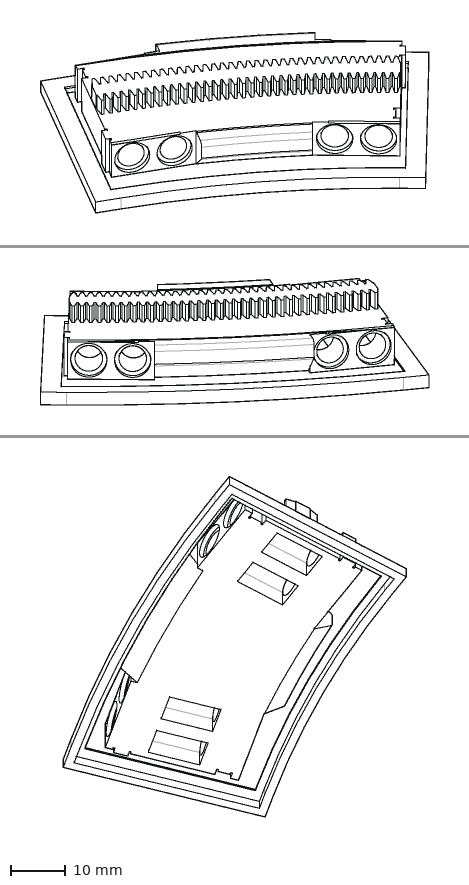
import cadquery as cq
import math

bend_radius = 202.4
bend_angle = 16.04

frame_height = 2.5
deck_bottom = frame_height
deck_top = 10.0
rack_top = 13.2

frame_inner_half = 16.25
frame_outer_half = 19.25
frame_inner_end_gap = 1.05
frame_outer_end_gap = 4.77
frame_wall = 1.6
frame_lip_height = 0.4

block_half_width = 12.7
block_length = 15.9
pin_hole_offset = 3.9
pin_hole_spacing = 8.0
pin_hole_diameter = 5.0
counterbore_diameter = 6.6
counterbore_depth = 0.9
pin_seat_depth = 7.8
pin_slot_width = 5.2

key_inner = 8.2
tab_outer = 10.95
tab_height = 0.65
notch_outer = 11.15
notch_depth = 0.83
relief_width = 0.3
relief_depth = 0.4

wing_half_width = 16.0
wing_fillet = 0.9
wing_bevel_top = 6.6
wing_bevel_bottom = 6.17
wing_bevel_width = 0.25

edge_bevel_width = 0.4
edge_bevel_depth = 0.22
deck_edge_half = 12.25
straight_bevel_length = 13.0

tooth_count = 36
rack_tip_half = 3.4
rack_root_half = 1.6
tooth_tip_width = 0.5
tooth_root_width = 0.3
rack_end_setback = 0.1

end_direction = math.radians(bend_angle)


def track_point(side, angle, beyond=0.0):
    """Point at a sideways offset from the centre line, moved straight on along the track."""
    radius = bend_radius - side
    x = bend_radius - radius * math.cos(angle) + beyond * math.sin(angle)
    y = radius * math.sin(angle) + beyond * math.cos(angle)
    return (x, y)


def curved_strip(half_width, end_gap, height):
    """Solid that follows the bend, with straight extensions past both ends."""
    middle = end_direction / 2
    return (
        cq.Workplane("XY")
        .moveTo(*track_point(-half_width, 0, -end_gap))
        .lineTo(*track_point(-half_width, 0))
        .threePointArc(track_point(-half_width, middle), track_point(-half_width, end_direction))
        .lineTo(*track_point(-half_width, end_direction, end_gap))
        .lineTo(*track_point(half_width, end_direction, end_gap))
        .lineTo(*track_point(half_width, end_direction))
        .threePointArc(track_point(half_width, middle), track_point(half_width, 0))
        .lineTo(*track_point(half_width, 0, -end_gap))
        .close()
        .extrude(height)
    )


def revolve_along_bend(section):
    """Sweep an XZ section around the bend centre, from the near end to the far end."""
    return section.revolve(bend_angle, (bend_radius, 1, 0), (bend_radius, 0, 0))


def at_far_end(shape):
    """Turn a near-end shape half round and carry it to the far end."""
    x, y = track_point(0, end_direction)
    return shape.rotate((0, 0, 0), (0, 0, 1), 180 - bend_angle).translate((x, y, 0))


def upright_box(x_start, x_end, y_start, y_end):
    """Box over the full deck height."""
    return (
        cq.Workplane("XY", origin=(0, 0, deck_bottom))
        .moveTo(x_start, y_start)
        .lineTo(x_end, y_start)
        .lineTo(x_end, y_end)
        .lineTo(x_start, y_end)
        .close()
        .extrude(deck_top - deck_bottom)
    )


def edge_bevel_section(side, half_width):
    """Triangle cut from the deck's top edge on one side; it has its foot at half_width."""
    top_x = side * (half_width - edge_bevel_width)
    foot_x = side * half_width
    return (
        cq.Workplane("XZ")
        .moveTo(top_x, deck_top)
        .lineTo(foot_x, deck_top)
        .lineTo(foot_x, deck_top - edge_bevel_depth)
        .close()
    )


def make_pin_hole(y):
    """Cutter for a cross hole: counterbored mouths and, between them, an arched slot open below."""
    centre_z = (deck_bottom + deck_top) / 2
    start = cq.Workplane("YZ", origin=(-block_half_width, y, centre_z))
    cutter = start.circle(pin_hole_diameter / 2).extrude(2 * block_half_width)
    for x in (-block_half_width, block_half_width - counterbore_depth):
        mouth = cq.Workplane("YZ", origin=(x, y, centre_z))
        cutter = cutter.union(mouth.circle(counterbore_diameter / 2).extrude(counterbore_depth))
    slot_length = 2 * (block_half_width - pin_seat_depth)
    arch = (
        cq.Workplane("YZ", origin=(-slot_length / 2, y, centre_z))
        .circle(pin_slot_width / 2)
        .extrude(slot_length)
    )
    slot = (
        cq.Workplane("XY", origin=(0, y, deck_bottom))
        .rect(slot_length, pin_slot_width)
        .extrude(centre_z - deck_bottom)
    )
    return cutter.union(arch).union(slot)


def make_end_block():
    """Near-end block, with its end face on Y = 0 and its body toward +Y."""
    block = upright_box(-block_half_width, block_half_width, 0, block_length)

    block = block.union(upright_box(key_inner, tab_outer, -tab_height, relief_depth))
    block = block.cut(upright_box(key_inner - relief_width, key_inner, 0, relief_depth))
    block = block.cut(upright_box(tab_outer, tab_outer + relief_width, 0, relief_depth))

    relief_end = notch_depth + relief_depth
    block = block.cut(upright_box(-notch_outer, -key_inner, 0, notch_depth))
    block = block.cut(upright_box(-notch_outer, -notch_outer + relief_width, 0, relief_end))
    block = block.cut(upright_box(-key_inner - relief_width, -key_inner, 0, relief_end))

    for side in (-1, 1):
        bevel = edge_bevel_section(side, block_half_width).extrude(-straight_bevel_length)
        block = block.cut(bevel)
    for index in range(2):
        block = block.cut(make_pin_hole(pin_hole_offset + index * pin_hole_spacing))
    return block


def make_winged_middle():
    """Curved middle with a rounded, undercut wing on each side, between the two end blocks."""
    slope_top_x = wing_half_width - wing_bevel_width
    slope_foot_x = slope_top_x - (wing_bevel_bottom - deck_bottom)
    fillet_mid = wing_fillet * (1 - math.sqrt(0.5))
    section = (
        cq.Workplane("XZ")
        .moveTo(-slope_foot_x, deck_bottom)
        .lineTo(slope_foot_x, deck_bottom)
        .lineTo(slope_top_x, wing_bevel_bottom)
        .lineTo(wing_half_width, wing_bevel_top)
        .lineTo(wing_half_width, deck_top - wing_fillet)
        .threePointArc(
            (wing_half_width - fillet_mid, deck_top - fillet_mid),
            (wing_half_width - wing_fillet, deck_top),
        )
        .lineTo(-wing_half_width + wing_fillet, deck_top)
        .threePointArc(
            (-wing_half_width + fillet_mid, deck_top - fillet_mid),
            (-wing_half_width, deck_top - wing_fillet),
        )
        .lineTo(-wing_half_width, wing_bevel_top)
        .lineTo(-slope_top_x, wing_bevel_bottom)
        .close()
    )
    end_zone = upright_box(-2 * wing_half_width, 2 * wing_half_width, -block_length, block_length)
    return revolve_along_bend(section).cut(end_zone).cut(at_far_end(end_zone))


def make_rack():
    """Rack with teeth on both sides; each end face lies in the middle of a tooth gap."""
    setback = rack_end_setback / bend_radius
    pitch = (end_direction - 2 * setback) / tooth_count
    half_tip = tooth_tip_width / 2 / bend_radius
    half_root = tooth_root_width / 2 / bend_radius
    left_edge = [track_point(-rack_root_half, setback)]
    right_edge = [track_point(rack_root_half, setback)]
    for index in range(tooth_count):
        gap = setback + index * pitch
        tip = gap + pitch / 2
        profile = (
            (rack_root_half, gap + half_root),
            (rack_tip_half, tip - half_tip),
            (rack_tip_half, tip + half_tip),
            (rack_root_half, gap + pitch - half_root),
        )
        left_edge += [track_point(-side, angle) for side, angle in profile]
        right_edge += [track_point(side, angle) for side, angle in profile]
    left_edge.append(track_point(-rack_root_half, end_direction - setback))
    right_edge.append(track_point(rack_root_half, end_direction - setback))
    outline = left_edge + right_edge[::-1]
    base = cq.Workplane("XY", origin=(0, 0, deck_top))
    return base.polyline(outline).close().extrude(rack_top - deck_top)


def make_frame():
    """Flat curved frame: an outer wall with a thin lip reaching inward along its top."""
    outer = curved_strip(frame_outer_half, frame_outer_end_gap, frame_height)
    opening = curved_strip(frame_inner_half, frame_inner_end_gap, frame_height)
    under_lip = curved_strip(
        frame_outer_half - frame_wall,
        frame_outer_end_gap - frame_wall,
        frame_height - frame_lip_height,
    )
    return outer.cut(opening).cut(under_lip)


def make_track():
    """Track body: winged middle, end blocks, edge bevels and rack in one solid."""
    end_block = make_end_block()
    track = make_winged_middle().union(end_block).union(at_far_end(end_block))
    for side in (-1, 1):
        section = edge_bevel_section(side, deck_edge_half + edge_bevel_width)
        track = track.cut(revolve_along_bend(section))
    return track.union(make_rack())


frame = make_frame()
track = make_track()
result = cq.Compound.makeCompound([*frame.solids().vals(), *track.solids().vals()])